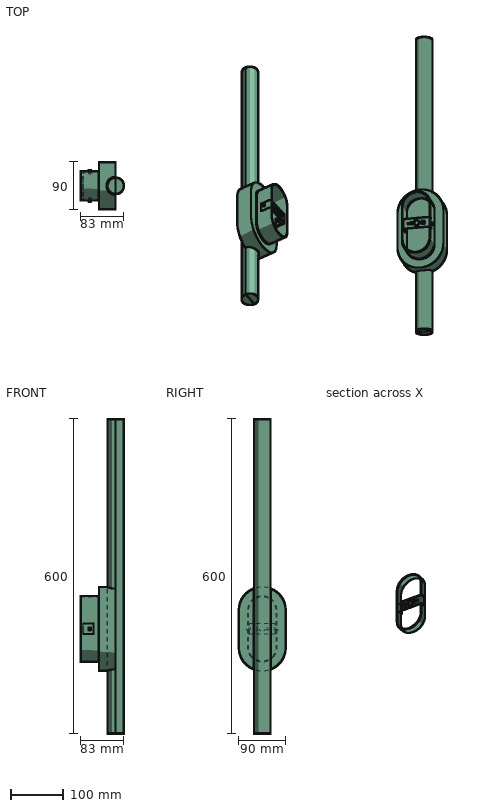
import cadquery as cq

ROD_LENGTH = 600
ROD_DIAMETER = 32.0
CAP_THICKNESS = 1.0
BAR_LENGTH = ROD_LENGTH - 2 * CAP_THICKNESS

CENTRE_Z = -100.0
STRAIGHT_HEIGHT = 70.0
BASE_WIDTH = 90
BASE_DEPTH = 32.0
GROOVE_CLEARANCE = 1.0
CUP_WIDTH = 56.0
CUP_WALL = 2.0
CUP_FLOOR = 1.0
TOTAL_DEPTH = 83.0
CUP_DEPTH = TOTAL_DEPTH - BASE_DEPTH - ROD_DIAMETER / 2
CUP_INNER_WIDTH = CUP_WIDTH - 2 * CUP_WALL
BASE_BACK_X = -BASE_DEPTH
CUP_MIDDLE_X = BASE_BACK_X - CUP_DEPTH / 2

BRACKET_HEIGHT = 20.0
BRACKET_DEPTH = 21.0
BRACKET_THICKNESS = 2.0
BRACKET_SETBACK = 3.5
BEND_RADIUS = 3.5
BRACKET_BACK_X = BASE_BACK_X - CUP_DEPTH + BRACKET_SETBACK
BRACKET_MIDDLE_X = BRACKET_BACK_X + BRACKET_DEPTH / 2

PLATE_HOLES = [(16.0, 2.35), (10.0, 4.0), (0, 10.0), (-12.5, 6.5)]

SCREW_DIAMETER = 2.95
SCREW_TIP_PROUD = 2.0
HEAD_DIAMETER = 5.5
HEAD_HEIGHT = 2.5
HEAD_ROUNDING = 1.0
SCREW_LENGTH = CUP_WALL + BRACKET_THICKNESS + SCREW_TIP_PROUD


def obround(width, depth, front_x):
    """Upright obround block whose front face is at front_x and which runs toward -X."""
    height = STRAIGHT_HEIGHT + width
    return (
        cq.Workplane("YZ", origin=(front_x, 0, CENTRE_Z))
        .slot2D(height, width, 90)
        .extrude(-depth)
    )


def make_half_bar(side):
    """Half-round bar on the +X (side = 1) or -X (side = -1) side of the split plane."""
    radius = ROD_DIAMETER / 2
    return (
        cq.Workplane("XY", origin=(0, 0, -BAR_LENGTH / 2))
        .moveTo(0, -radius)
        .threePointArc((side * radius, 0), (0, radius))
        .close()
        .extrude(BAR_LENGTH)
    )


def make_end_cap(end):
    """Thin disc that closes the top (end = 1) or bottom (end = -1) of the rod."""
    return (
        cq.Workplane("XY", origin=(0, 0, end * BAR_LENGTH / 2))
        .circle(ROD_DIAMETER / 2)
        .extrude(end * CAP_THICKNESS)
    )


def make_screw(side):
    """Round-headed screw through the cup wall on the +Y (side = 1) or -Y (side = -1) side."""
    wall = cq.Workplane("XZ", origin=(CUP_MIDDLE_X, side * CUP_WIDTH / 2, CENTRE_Z))
    shank = wall.circle(SCREW_DIAMETER / 2).extrude(side * SCREW_LENGTH)
    outer_face = ">Y" if side > 0 else "<Y"
    head = (
        wall.circle(HEAD_DIAMETER / 2)
        .extrude(-side * HEAD_HEIGHT)
        .faces(outer_face)
        .edges()
        .fillet(HEAD_ROUNDING)
    )
    return shank.union(head)


def make_base():
    """Obround block with a groove along its front that clears the back half of the rod."""
    base = obround(BASE_WIDTH, BASE_DEPTH, 0)
    groove = (
        cq.Workplane("XY")
        .circle(ROD_DIAMETER / 2 + GROOVE_CLEARANCE)
        .extrude(ROD_LENGTH / 2, both=True)
    )
    return base.cut(groove)


def make_cup(screws):
    """Obround pan, open toward -X, with a hole for each side screw."""
    cavity = obround(CUP_INNER_WIDTH, CUP_DEPTH - CUP_FLOOR, BASE_BACK_X - CUP_FLOOR)
    cup = obround(CUP_WIDTH, CUP_DEPTH, BASE_BACK_X).cut(cavity)
    for screw in screws:
        cup = cup.cut(screw)
    return cup


def make_bracket(screws):
    """Bent strip with rounded outer corners, plate holes and a hole for each side screw."""
    outer = (
        cq.Workplane("XY")
        .box(BRACKET_DEPTH, CUP_INNER_WIDTH, BRACKET_HEIGHT)
        .edges("|Z and <X")
        .fillet(BEND_RADIUS)
    )
    inner = (
        cq.Workplane("XY", origin=(BRACKET_THICKNESS, 0, 0))
        .box(BRACKET_DEPTH, CUP_INNER_WIDTH - 2 * BRACKET_THICKNESS, BRACKET_HEIGHT)
        .edges("|Z and <X")
        .fillet(BEND_RADIUS - BRACKET_THICKNESS)
    )
    bracket = outer.cut(inner).translate((BRACKET_MIDDLE_X, 0, CENTRE_Z))
    for y, diameter in PLATE_HOLES:
        hole = (
            cq.Workplane("YZ", origin=(BRACKET_BACK_X, y, CENTRE_Z))
            .circle(diameter / 2)
            .extrude(BRACKET_THICKNESS)
        )
        bracket = bracket.cut(hole)
    for screw in screws:
        bracket = bracket.cut(screw)
    return bracket


front_bar = make_half_bar(1)
back_bar = make_half_bar(-1)
end_caps = [make_end_cap(end) for end in (1, -1)]
screws = [make_screw(side) for side in (1, -1)]
base = make_base()
cup = make_cup(screws)
bracket = make_bracket(screws)

result = cq.Compound.makeCompound(
    [
        front_bar.val(),
        back_bar.val(),
        *[end_cap.val() for end_cap in end_caps],
        base.val(),
        cup.val(),
        bracket.val(),
        *[screw.val() for screw in screws],
    ]
)